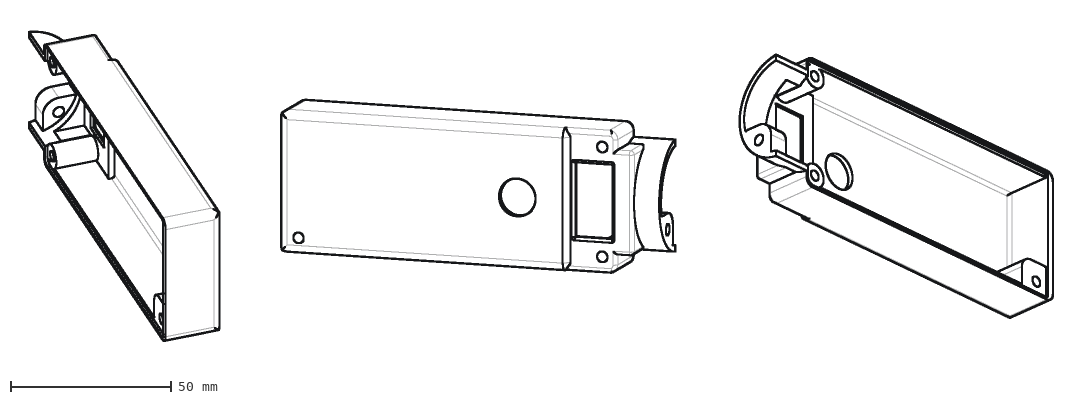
import cadquery as cq
import math

LENGTH = 124.4
DEPTH = 18.8
HEIGHT = 45.4

SHELL_START = 13.7
SIDE_WALL = 1.9
END_WALL = 2.2
BACK_WALL = 1.9
SHELL_ROUND = 2.75
FLOOR_ROUND = 1.1

LOW_DEPTH = 16.9
LOW_BACK_WALL = 2.0
LOW_SIDE_ROUND = 1.6
RAMP_ANGLE = 45.0
RAISED_START = 30.8
DEEP_FLOOR_START = 31.9

LIP_WIDTH = 0.75
LIP_DEPTH = 0.94
LIP_END_ROUND = 1.0

SPOUT_RADIUS = 18.0
SPOUT_WALL = 2.0
SPOUT_AXIS_Y = -2.1

NECK_START = 8.25
NECK_HEIGHT = 33.3
NECK_ROUND = 1.2
NECK_CAVITY_START = 9.75
NECK_CAVITY_HEIGHT = 28.8

SCREW_HOLE = 3.4
POST_RADIUS = 4.0
POST_X = 18.4
SCREW_Z = 17.5
CORNER_POST_X = 111.4
CORNER_POST_TOP = -10.65
CORNER_POST_ROUND = 4.0
CORNER_SCREW_X = 117.9

LUG_LENGTH = 6.8
LUG_RADIUS = 5.3
LUG_HOLE = 3.6
LUG_Y = 7.45
LUG_Z = -9.5

WINDOW_START = 15.4
WINDOW_LENGTH = 12.1
WINDOW_HEIGHT = 23.7
WINDOW_BEVEL = 1.0
WINDOW_FLARE_ANGLE = 45.0
ROUND_HOLE = 12.0
ROUND_HOLE_X = 45.8

CAVITY_START = SHELL_START + SIDE_WALL
CAVITY_END = LENGTH - END_WALL
CAVITY_HALF = HEIGHT / 2 - SIDE_WALL
LOW_FLOOR = LOW_DEPTH - LOW_BACK_WALL
DEEP_FLOOR = DEPTH - BACK_WALL
NECK_FRONT = SPOUT_AXIS_Y + math.sqrt(SPOUT_RADIUS**2 - (NECK_HEIGHT / 2) ** 2)
RAMP_LENGTH = (DEPTH - LOW_DEPTH) / math.tan(math.radians(RAMP_ANGLE))


def block(x_range, y_range, z_range):
    """Axis-aligned box between the given limits."""
    lows, highs = zip(x_range, y_range, z_range)
    sizes = [high - low for low, high in zip(lows, highs)]
    return cq.Workplane("XY").box(*sizes, centered=False).translate(lows)


def centered_block(x_range, y_range, height):
    """Axis-aligned box centred on Z = 0."""
    return block(x_range, y_range, (-height / 2, height / 2))


def rod_y(x, z, radius, y_start, y_end):
    """Cylinder parallel to Y."""
    return cq.Workplane("XZ", origin=(x, y_start, z)).circle(radius).extrude(y_start - y_end)


def rod_x(y, z, radius, x_end):
    """Cylinder parallel to X that starts at X = 0."""
    return cq.Workplane("YZ").center(y, z).circle(radius).extrude(x_end)


def low_body():
    """Shallow left end of the shell; its right end lies inside the raised body."""
    body = centered_block((SHELL_START, DEEP_FLOOR_START), (0, LOW_DEPTH), HEIGHT)
    side_rounds = body.edges("|X and >Y").fillet(LOW_SIDE_ROUND)
    end_rounds = body.edges("|Y and <X").fillet(SHELL_ROUND)
    end_rounds = end_rounds.faces(">Y").edges("not >X").fillet(NECK_ROUND)
    return side_rounds.intersect(end_rounds)


def raised_body():
    """Deep right end of the shell, with its three sets of rounds mitred at the corners."""
    body = centered_block((RAISED_START, LENGTH), (0, DEPTH), HEIGHT)
    raised = body.edges("|X and >Y").fillet(SHELL_ROUND)
    ramp = raised.faces("<X").wires().toPending().workplane()
    ramp = ramp.extrude(RAMP_LENGTH, taper=RAMP_ANGLE, combine=False)
    for edges in ("|Y and >X", "|Z and >X and >Y"):
        raised = raised.intersect(body.edges(edges).fillet(SHELL_ROUND))
    return raised.union(ramp)


def neck_body():
    neck = centered_block((NECK_START, CAVITY_START), (NECK_FRONT, LOW_DEPTH), NECK_HEIGHT)
    neck = neck.edges("|Y and <X").fillet(NECK_ROUND)
    neck = neck.faces(">Y").edges("not >X").fillet(NECK_ROUND)
    return neck


def cavity():
    """Inside of the shell: a shallow floor, then a deeper floor with rounded edges."""
    low = centered_block((CAVITY_START, DEEP_FLOOR_START), (0, LOW_FLOOR), 2 * CAVITY_HALF)
    deep = centered_block((DEEP_FLOOR_START, CAVITY_END), (0, DEEP_FLOOR), 2 * CAVITY_HALF)
    deep = deep.faces(">Y").edges("not <X").fillet(FLOOR_ROUND)
    neck = centered_block((NECK_CAVITY_START, CAVITY_START), (0, LOW_FLOOR), NECK_CAVITY_HEIGHT)
    spout = rod_x(SPOUT_AXIS_Y, 0, SPOUT_RADIUS - SPOUT_WALL, CAVITY_START)
    return low.union(deep).union(neck).union(spout)


def lip_recess():
    x_range = (SHELL_START + LIP_WIDTH, CAVITY_END)
    recess = centered_block(x_range, (0, LIP_DEPTH), HEIGHT - 2 * LIP_WIDTH)
    recess = recess.edges("|Y and <X").fillet(SHELL_ROUND - LIP_WIDTH)
    return recess.edges("|Y and >X").fillet(LIP_END_ROUND)


def lug():
    """Screw lug filling the lower back of the spout, rounded about its screw hole."""
    front = LUG_Y - LUG_RADIUS
    top = LUG_Z + LUG_RADIUS
    body = block((0, LUG_LENGTH), (front, LOW_FLOOR), (-SPOUT_RADIUS, top))
    body = body.edges("|X and <Y and >Z").fillet(LUG_RADIUS)
    return body.intersect(rod_x(SPOUT_AXIS_Y, 0, SPOUT_RADIUS, LUG_LENGTH))


def corner_post():
    body = block(
        (CORNER_POST_X, CAVITY_END), (LIP_DEPTH, DEEP_FLOOR), (-CAVITY_HALF, CORNER_POST_TOP)
    )
    return body.edges("|Y and <X and >Z").fillet(CORNER_POST_ROUND)


def window():
    """Opening through the low back, flaring outward near the outside."""
    x_range = (WINDOW_START, WINDOW_START + WINDOW_LENGTH)
    opening = centered_block(x_range, (0, LOW_DEPTH - WINDOW_BEVEL), WINDOW_HEIGHT)
    flare = opening.faces(">Y").wires().toPending().workplane()
    flare = flare.extrude(WINDOW_BEVEL, taper=-WINDOW_FLARE_ANGLE, combine=False)
    return opening.union(flare)


def build():
    outside = low_body().union(raised_body()).union(neck_body())
    outside = outside.union(rod_x(SPOUT_AXIS_Y, 0, SPOUT_RADIUS, CAVITY_START))
    outside = outside.intersect(block((0, LENGTH), (0, DEPTH), (-HEIGHT, HEIGHT)))
    body = outside.cut(cavity()).cut(lip_recess())
    for z in (-SCREW_Z, SCREW_Z):
        body = body.union(rod_y(POST_X, z, POST_RADIUS, LIP_DEPTH, LOW_FLOOR))
    body = body.union(corner_post()).union(lug())

    screws = [(POST_X, -SCREW_Z), (POST_X, SCREW_Z), (CORNER_SCREW_X, -SCREW_Z)]
    for x, z in screws:
        body = body.cut(rod_y(x, z, SCREW_HOLE / 2, 0, DEPTH))
    body = body.cut(rod_x(LUG_Y, LUG_Z, LUG_HOLE / 2, LUG_LENGTH))
    body = body.cut(rod_y(ROUND_HOLE_X, 0, ROUND_HOLE / 2, 0, DEPTH))
    return body.cut(window())


result = build()